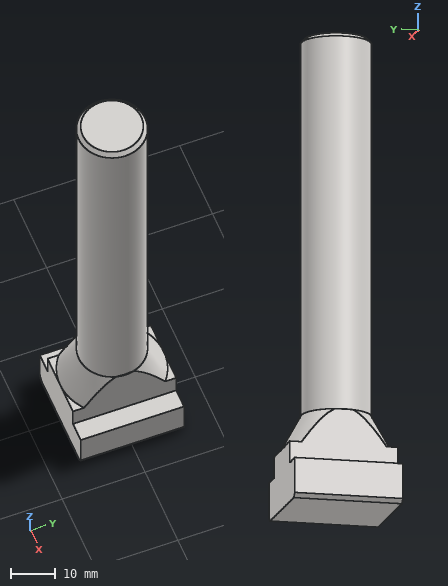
import cadquery as cq

total_height = 109.0
head_width = 25.0

head_height = 9.0
head_chamfer = 1.0
neck_width = 15.5
neck_top = 14.0

shank_diameter = 16.0
shank_start = 22.0
tip_chamfer_height = 1.0
tip_chamfer_width = 1.0


def make_head():
    """Square plate with its two bottom edges along Y chamfered."""
    plate = cq.Workplane("XY").box(head_width, head_width, head_height, centered=(True, True, False))
    return plate.faces("<Z").edges("|Y").chamfer(head_chamfer)


def make_neck():
    """Straight slot neck topped by a cone whose sides are cut flush with it."""
    block_height = shank_start - head_height
    envelope = (
        cq.Workplane("XY")
        .workplane(offset=head_height)
        .box(neck_width, head_width, block_height, centered=(True, True, False))
    )
    straight = (
        cq.Workplane("XY")
        .workplane(offset=head_height)
        .box(neck_width, head_width, neck_top - head_height, centered=(True, True, False))
    )
    cone = (
        cq.Workplane("XY")
        .workplane(offset=neck_top)
        .circle(head_width / 2)
        .workplane(offset=shank_start - neck_top)
        .circle(shank_diameter / 2)
        .loft(ruled=True)
    )
    return straight.union(cone.intersect(envelope))


def make_shank():
    """Round shank with a chamfered tip."""
    shank = (
        cq.Workplane("XY")
        .workplane(offset=shank_start)
        .circle(shank_diameter / 2)
        .extrude(total_height - shank_start)
    )
    return shank.faces(">Z").chamfer(tip_chamfer_height, tip_chamfer_width)


result = make_head().union(make_neck()).union(make_shank())